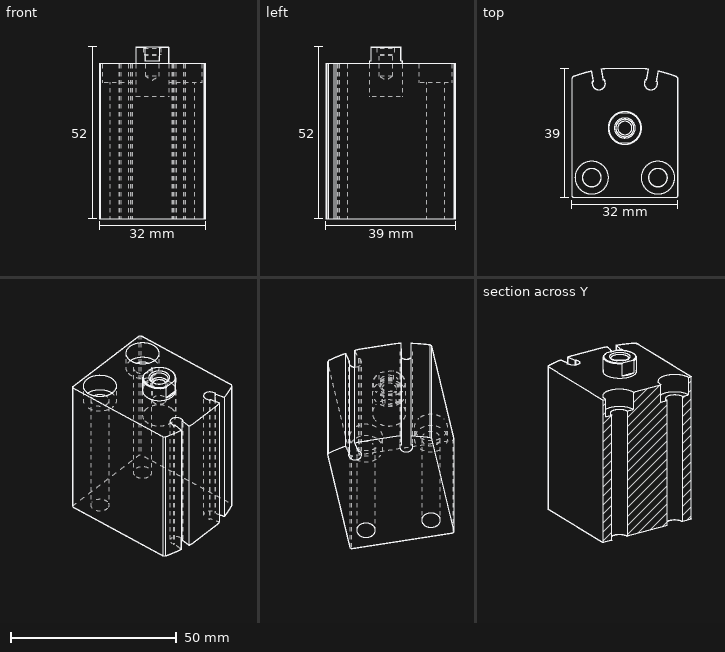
import cadquery as cq
import math


total_height = 52.0
housing_height = 47.0
housing_width = 32.0
front_y = -21.0
back_y = 18.0
crown_radius = 45.0
crown_flat_half = 5.8
corner_chamfer = 0.4

mount_x = 10.0
mount_y = -15.0
mount_hole_d = 5.5
counterbore_d = 10.0
counterbore_depth = 5.7

slot_x = 8.0
slot_y = 14.25
slot_tilt = 10.0
neck_width = 2.95
channel_width = 3.75
channel_straight = 0.9
neck_length = 6.25

rod_d = 10.0
rod_flats = 9.0
flat_start = 0.8
rod_chamfer = 0.2
rod_seat_depth = 10.0

thread_d = 5.3
core_d = 4.15
countersink_d = 6.2
thread_depth = 2.25
thread_runout = 0.35
core_depth = 8.85
drill_half_angle = 59.0


def housing_block():
    half_width = housing_width / 2
    crown_centre_y = back_y - math.sqrt(crown_radius**2 - crown_flat_half**2)

    def crown_y(x):
        return crown_centre_y + math.sqrt(crown_radius**2 - x**2)

    mid_x = (half_width + crown_flat_half) / 2
    side_y = crown_y(half_width)
    return (
        cq.Workplane("XY")
        .moveTo(-half_width, front_y)
        .lineTo(half_width, front_y)
        .lineTo(half_width, side_y)
        .threePointArc((mid_x, crown_y(mid_x)), (crown_flat_half, back_y))
        .lineTo(-crown_flat_half, back_y)
        .threePointArc((-mid_x, crown_y(mid_x)), (-half_width, side_y))
        .close()
        .extrude(housing_height)
        .edges("|Z and (<X or >X)")
        .chamfer(corner_chamfer)
    )


def sensor_slot(side):
    """Full-height slot cutter; side is -1 for the left slot and 1 for the right."""
    half_neck = neck_width / 2
    half_channel = channel_width / 2
    return (
        cq.Workplane("XY")
        .moveTo(-half_neck, neck_length)
        .lineTo(-half_neck, 0)
        .lineTo(-half_channel, 0)
        .lineTo(-half_channel, -channel_straight)
        .threePointArc((0, -channel_straight - half_channel), (half_channel, -channel_straight))
        .lineTo(half_channel, 0)
        .lineTo(half_neck, 0)
        .lineTo(half_neck, neck_length)
        .close()
        .extrude(housing_height)
        .rotate((0, 0, 0), (0, 0, 1), -side * slot_tilt)
        .translate((side * slot_x, slot_y, 0))
    )


def make_housing():
    block = housing_block()
    for side in (-1, 1):
        block = block.cut(sensor_slot(side))
    block = (
        block.faces(">Z").workplane(origin=(0, 0, housing_height))
        .pushPoints([(-mount_x, mount_y), (mount_x, mount_y)])
        .cboreHole(mount_hole_d, counterbore_d, counterbore_depth)
    )
    return block.faces(">Z").workplane(origin=(0, 0, housing_height)).hole(rod_d, rod_seat_depth)


def tapped_hole():
    """Cutter turned about the rod axis: countersink, thread, runout cone, core hole and drill point."""
    countersink_r = countersink_d / 2
    thread_r = thread_d / 2
    core_r = core_d / 2
    countersink_z = total_height - (countersink_r - thread_r)
    thread_z = total_height - thread_depth
    core_z = total_height - core_depth
    tip_z = core_z - core_r / math.tan(math.radians(drill_half_angle))
    return (
        cq.Workplane("XZ")
        .moveTo(0, total_height)
        .lineTo(countersink_r, total_height)
        .lineTo(thread_r, countersink_z)
        .lineTo(thread_r, thread_z)
        .lineTo(core_r, thread_z - thread_runout)
        .lineTo(core_r, core_z)
        .lineTo(0, tip_z)
        .close()
        .revolve(360, (0, 0, 0), (0, 1, 0))
    )


def make_rod():
    base_z = housing_height - rod_seat_depth
    rod = (
        cq.Workplane("XY", origin=(0, 0, base_z))
        .circle(rod_d / 2)
        .extrude(total_height - base_z)
        .faces(">Z")
        .chamfer(rod_chamfer)
    )
    flat_z = housing_height + flat_start
    cut_y = (rod_flats + rod_d) / 2
    for side in (-1, 1):
        flat_cutter = (
            cq.Workplane("XY", origin=(0, side * cut_y, flat_z))
            .rect(rod_d, rod_d)
            .extrude(total_height - flat_z)
        )
        rod = rod.cut(flat_cutter)
    return rod.cut(tapped_hole())


housing = make_housing()
rod = make_rod()
result = cq.Compound.makeCompound([housing.val(), rod.val()])